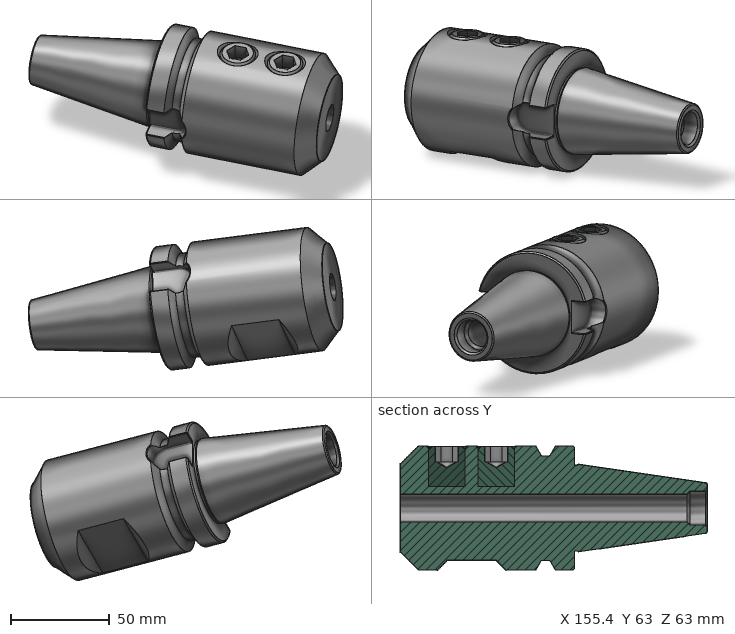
import cadquery as cq
import math

LENGTH = 155.4
BODY_DIAMETER = 63.0
BODY_START = 86.7
NOSE_CHAMFER = 9.0
NOSE_RIM = 0.3

GAUGE_DIAMETER = 44.5
GAUGE_X = 65.3
TAPER_RATIO = 7 / 24
TIP_CHAMFER = 0.6
NECK_DIAMETER = 43.5
NECK_BEVEL = 0.8

FLANGE_START = 67.1
FLANGE_END = 77.0
FLANGE_CHAMFER = 0.8
GROOVE_DIAMETER = 53.1
GROOVE_BEVEL_ANGLE = 30.0

BORE_DIAMETER = 13.8
PULL_STUD_DIAMETER = 17.0
PULL_STUD_DEPTH = 8.9
PULL_STUD_CHAMFER = 1.1
PULL_STUD_CONE_LENGTH = 1.5

SLOT_WIDTH = 16.2
SLOT_END_X = 88.6
SLOT_FLOOR_Y = 22.5
SLOT_FLOOR_FILLET = 0.5
SLOT_EDGE_CHAMFER = 0.5
SELECT_MARGIN = 0.2

FLAT_START = 106.9
FLAT_END = 131.5
FLAT_Z = -26.4

SCREW_DIAMETER = 18.0
SCREW_PITCH = 25.0
LAST_SCREW_X = LENGTH - 23.6
SCREW_POSITIONS = [LAST_SCREW_X - SCREW_PITCH, LAST_SCREW_X]
SCREW_LENGTH = 20.0
SCREW_EDGE_CHAMFER = 1.1
SCREW_HOLE_MOUTH_DIAMETER = 20.8
HEX_ACROSS_FLATS = 10.0
HEX_SIDES = 6
HEX_DEPTH = 7.8
HEX_POINT_ANGLE = 120.0

BODY_RADIUS = BODY_DIAMETER / 2
GAUGE_RADIUS = GAUGE_DIAMETER / 2
NECK_RADIUS = NECK_DIAMETER / 2
GROOVE_RADIUS = GROOVE_DIAMETER / 2
SCREW_RADIUS = SCREW_DIAMETER / 2
SCREW_MOUTH_RADIUS = SCREW_HOLE_MOUTH_DIAMETER / 2
SCREW_MOUTH_FOOT_Z = BODY_RADIUS - (SCREW_MOUTH_RADIUS - SCREW_RADIUS)
SCREW_TOP_Z = SCREW_MOUTH_FOOT_Z + SCREW_EDGE_CHAMFER
SCREW_BOTTOM_Z = SCREW_TOP_Z - SCREW_LENGTH


def taper_radius(x):
    """Radius of the shank taper at the distance x from its tip."""
    return GAUGE_RADIUS - (GAUGE_X - x) * TAPER_RATIO / 2


def turned_blank():
    """Taper, neck, flange, groove and body as one revolved profile."""
    groove_bevel = (BODY_RADIUS - GROOVE_RADIUS) * math.tan(math.radians(GROOVE_BEVEL_ANGLE))
    outline = [
        (0, 0),
        (0, taper_radius(0) - TIP_CHAMFER),
        (TIP_CHAMFER, taper_radius(TIP_CHAMFER)),
        (GAUGE_X, GAUGE_RADIUS),
        (GAUGE_X + NECK_BEVEL, NECK_RADIUS),
        (FLANGE_START, NECK_RADIUS),
        (FLANGE_START, BODY_RADIUS - FLANGE_CHAMFER),
        (FLANGE_START + FLANGE_CHAMFER, BODY_RADIUS),
        (FLANGE_END, BODY_RADIUS),
        (FLANGE_END + groove_bevel, GROOVE_RADIUS),
        (BODY_START - groove_bevel, GROOVE_RADIUS),
        (BODY_START, BODY_RADIUS),
        (LENGTH - NOSE_RIM - NOSE_CHAMFER, BODY_RADIUS),
        (LENGTH - NOSE_RIM, BODY_RADIUS - NOSE_CHAMFER),
        (LENGTH, BODY_RADIUS - NOSE_CHAMFER),
        (LENGTH, 0),
    ]
    return cq.Workplane("XZ").polyline(outline).close().revolve(360, (0, 0, 0), (1, 0, 0))


def axial_bore():
    """Through bore, widened and chamfered for the pull stud at the tip."""
    bore_radius = BORE_DIAMETER / 2
    stud_radius = PULL_STUD_DIAMETER / 2
    outline = [
        (0, 0),
        (0, stud_radius + PULL_STUD_CHAMFER),
        (PULL_STUD_CHAMFER, stud_radius),
        (PULL_STUD_DEPTH, stud_radius),
        (PULL_STUD_DEPTH + PULL_STUD_CONE_LENGTH, bore_radius),
        (LENGTH, bore_radius),
        (LENGTH, 0),
    ]
    return cq.Workplane("XZ").polyline(outline).close().revolve(360, (0, 0, 0), (1, 0, 0))


def drive_slot():
    """Cutter for the -Y drive slot: open at the flange face, round at its far end."""
    half_width = SLOT_WIDTH / 2
    arc_center_x = SLOT_END_X - half_width
    return (
        cq.Workplane("XZ", origin=(0, -SLOT_FLOOR_Y, 0))
        .moveTo(FLANGE_START, -half_width)
        .lineTo(arc_center_x, -half_width)
        .threePointArc((SLOT_END_X, 0), (arc_center_x, half_width))
        .lineTo(FLANGE_START, half_width)
        .close()
        .extrude(BODY_RADIUS - SLOT_FLOOR_Y)
    )


def mirrored_boxes(low_corner, high_corner):
    """Select edges centred in a box on the +Y side or in its mirror image on the -Y side."""
    low_x, low_y, low_z = low_corner
    high_x, high_y, high_z = high_corner
    far_box = cq.selectors.BoxSelector(low_corner, high_corner)
    near_box = cq.selectors.BoxSelector((low_x, -low_y, low_z), (high_x, -high_y, high_z))
    return far_box + near_box


def finish_slot_edges(holder):
    """Chamfer the outer edges of the two drive slots, then round the corners of their floors."""
    reach_z = SLOT_WIDTH / 2 + SELECT_MARGIN
    reach_y = BODY_RADIUS + SELECT_MARGIN
    above_floor_y = SLOT_FLOOR_Y + SELECT_MARGIN
    below_floor_y = SLOT_FLOOR_Y - SELECT_MARGIN
    first_x = FLANGE_START - SELECT_MARGIN
    behind_face_x = FLANGE_START + SELECT_MARGIN
    last_x = SLOT_END_X + SELECT_MARGIN

    flange_edges = mirrored_boxes((first_x, above_floor_y, -reach_z), (FLANGE_END, reach_y, reach_z))
    body_edges = mirrored_boxes((BODY_START, above_floor_y, -reach_z), (last_x, reach_y, reach_z))
    floor_edges = mirrored_boxes((behind_face_x, below_floor_y, -reach_z), (last_x, above_floor_y, reach_z))
    holder = holder.edges(flange_edges + body_edges).chamfer(SLOT_EDGE_CHAMFER)
    return holder.edges(floor_edges).fillet(SLOT_FLOOR_FILLET)


def relief_flat():
    """Cutter for the flat under the body, with ends sloping at 45 degrees."""
    depth = BODY_RADIUS + FLAT_Z
    outline = [
        (FLAT_START, FLAT_Z),
        (FLAT_END, FLAT_Z),
        (FLAT_END + depth, -BODY_RADIUS),
        (FLAT_START - depth, -BODY_RADIUS),
    ]
    return cq.Workplane("XZ").polyline(outline).close().extrude(BODY_RADIUS, both=True)


def screw_hole(x):
    """Cutter for one screw hole: blind, with a 45 degree mouth at the body surface."""
    outline = [
        (0, SCREW_BOTTOM_Z),
        (SCREW_RADIUS, SCREW_BOTTOM_Z),
        (SCREW_RADIUS, SCREW_MOUTH_FOOT_Z),
        (SCREW_MOUTH_RADIUS, BODY_RADIUS),
        (0, BODY_RADIUS),
    ]
    cutter = cq.Workplane("XZ").polyline(outline).close().revolve(360, (0, 0, 0), (0, 1, 0))
    return cutter.translate((x, 0, 0))


def make_holder():
    """Tool holder with all its cuts."""
    slot = drive_slot()
    holder = turned_blank().cut(axial_bore()).cut(slot).cut(slot.mirror("XZ"))
    holder = finish_slot_edges(holder).cut(relief_flat())
    for x in SCREW_POSITIONS:
        holder = holder.cut(screw_hole(x))
    return holder


def make_screw(x):
    """Clamping screw: chamfered top and a hexagon socket that ends in a cone."""
    hex_circle_diameter = HEX_ACROSS_FLATS / math.cos(math.pi / HEX_SIDES)
    point_radius = HEX_ACROSS_FLATS / 2
    point_depth = point_radius / math.tan(math.radians(HEX_POINT_ANGLE / 2))
    socket_floor_z = SCREW_TOP_Z - HEX_DEPTH

    blank = (
        cq.Workplane("XY", origin=(0, 0, SCREW_BOTTOM_Z))
        .circle(SCREW_RADIUS)
        .extrude(SCREW_LENGTH)
        .faces(">Z")
        .chamfer(SCREW_EDGE_CHAMFER)
    )
    socket = (
        cq.Workplane("XY", origin=(0, 0, socket_floor_z))
        .polygon(HEX_SIDES, hex_circle_diameter)
        .extrude(HEX_DEPTH)
    )
    point = (
        cq.Workplane("XZ")
        .polyline([(0, socket_floor_z), (point_radius, socket_floor_z), (0, socket_floor_z - point_depth)])
        .close()
        .revolve(360, (0, 0, 0), (0, 1, 0))
    )
    return blank.cut(socket).cut(point).translate((x, 0, 0))


holder = make_holder()
screws = [make_screw(x) for x in SCREW_POSITIONS]

result = cq.Compound.makeCompound([holder.val(), *[screw.val() for screw in screws]])